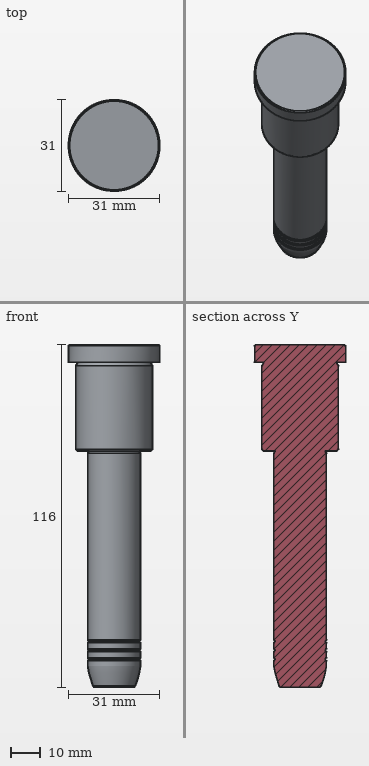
import cadquery as cq
import math

total_length = 116.0
head_height = 6.0
collar_length = 30.0

head_radius = 31.0 / 2
collar_radius = 26.1 / 2
pin_radius = 18.0 / 2

head_chamfer = 0.5
collar_chamfer = 0.7
collar_relief_depth = 0.7
collar_relief_height = 1.2
pin_relief_depth = 0.5
pin_relief_height = 0.7

groove_count = 3
groove_pitch = 3.0
groove_width = 1.0
groove_depth = 0.5
lowest_groove_z = 9.5

nose_height = 7.3
nose_base_radius = 7.2
nose_bulge = 0.2
tip_chamfer = 0.5

head_bottom = total_length - head_height
collar_bottom = head_bottom - collar_length

nose_angle = math.atan2(pin_radius - nose_base_radius, nose_height - tip_chamfer)
nose_middle = (
    (pin_radius + nose_base_radius) / 2 + nose_bulge * math.cos(nose_angle),
    (nose_height + tip_chamfer) / 2 - nose_bulge * math.sin(nose_angle),
)

profile = (
    cq.Workplane("XZ")
    .lineTo(nose_base_radius - tip_chamfer, 0)
    .lineTo(nose_base_radius, tip_chamfer)
    .threePointArc(nose_middle, (pin_radius, nose_height))
)

for index in range(groove_count):
    groove_z = lowest_groove_z + index * groove_pitch
    profile = (
        profile
        .lineTo(pin_radius, groove_z - groove_width / 2)
        .lineTo(pin_radius - groove_depth, groove_z)
        .lineTo(pin_radius, groove_z + groove_width / 2)
    )

profile = (
    profile
    .lineTo(pin_radius, collar_bottom - pin_relief_height)
    .lineTo(pin_radius - pin_relief_depth, collar_bottom)
    .lineTo(collar_radius - collar_chamfer, collar_bottom)
    .lineTo(collar_radius, collar_bottom + collar_chamfer)
    .lineTo(collar_radius, head_bottom - collar_relief_height)
    .lineTo(collar_radius - collar_relief_depth, head_bottom)
    .lineTo(head_radius, head_bottom)
    .lineTo(head_radius, total_length - head_chamfer)
    .lineTo(head_radius - head_chamfer, total_length)
    .lineTo(0, total_length)
    .close()
)

result = profile.revolve(360, (0, 0, 0), (0, 1, 0))